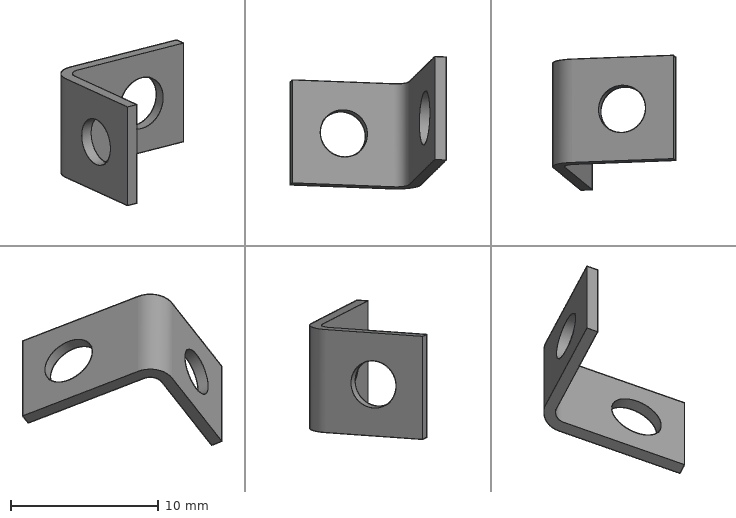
import cadquery as cq

length_x = 8.71
length_y = 10.67
height = 7.14

thickness = 0.8
outer_bend_radius = 1.7
inner_bend_radius = outer_bend_radius - thickness

x_leg_hole_diameter = 3.25
y_leg_hole_diameter = 3.66
hole_end_distance = height / 2


def bent_sheet():
    """L-shaped sheet with its outer corner at the origin and its bend axis along Z."""
    outer = cq.Workplane("XY").rect(length_x, length_y, centered=False).extrude(height)
    outer = outer.edges("|Z and <X and <Y").fillet(outer_bend_radius)
    inner = (
        cq.Workplane("XY")
        .moveTo(thickness, thickness)
        .rect(length_x, length_y, centered=False)
        .extrude(height)
        .edges("|Z and <X and <Y")
        .fillet(inner_bend_radius)
    )
    return outer.cut(inner)


def leg_hole(x, y, diameter, direction):
    """Cylinder through one leg at mid-height, starting on the leg's outer face."""
    start = cq.Vector(x, y, height / 2)
    return cq.Solid.makeCylinder(diameter / 2, thickness, start, direction)


x_leg_hole = leg_hole(length_x - hole_end_distance, 0, x_leg_hole_diameter, cq.Vector(0, 1, 0))
y_leg_hole = leg_hole(0, length_y - hole_end_distance, y_leg_hole_diameter, cq.Vector(1, 0, 0))

result = bent_sheet().cut(x_leg_hole).cut(y_leg_hole)